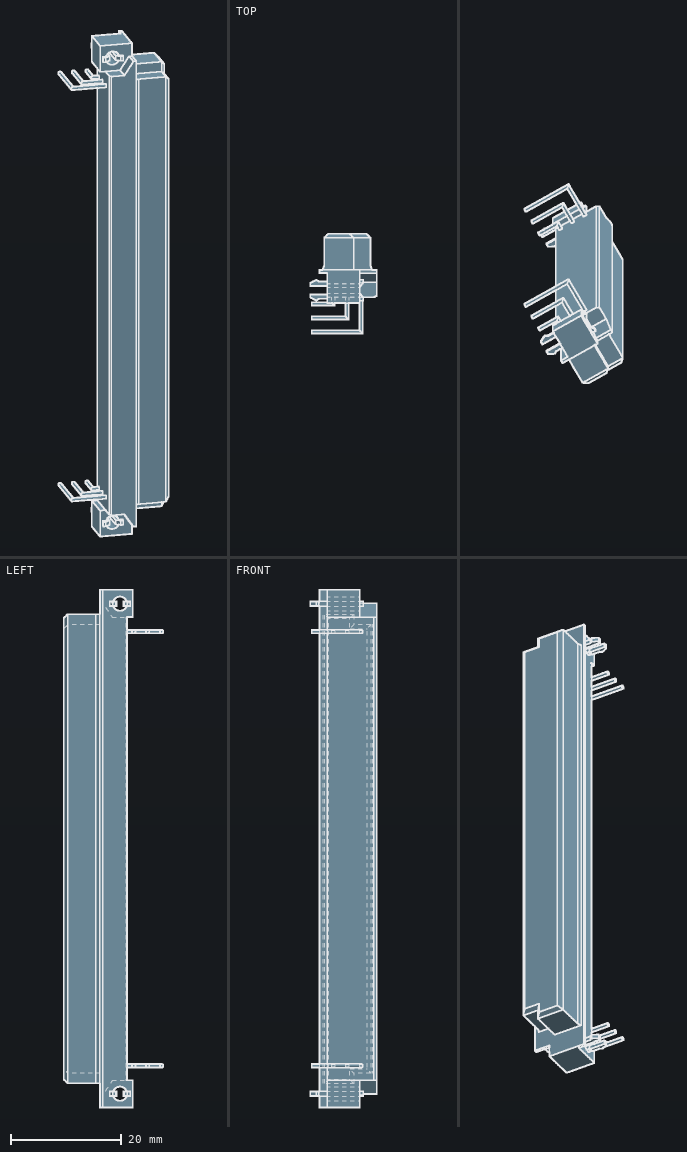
import cadquery as cq
import math


LENGTH = 94.0
HOUSING_WIDTH = 10.4
FLANGE_THICKNESS = 0.6

BODY_LEFT = 1.4
BODY_FRONT = -5.0
BODY_HALF_LENGTH = 42.0
BODY_EDGE_CHAMFER_X = 0.6
BODY_EDGE_CHAMFER_Y = 0.3

SLOPE_HALF_LENGTH = 44.6
SLOPE_FOOT_Y = -2.3

EAR_RIGHT = 7.3
EAR_FRONT = -6.0

PLUG_LEFT = 0.8
PLUG_RIGHT = 9.3
PLUG_HEIGHT = 6.6
PLUG_HALF_LENGTH = 42.6
PLUG_CHAMFER = 0.75
PLUG_STEP_X = 6.2
PLUG_STEP_DEPTH = 1.9
PLUG_FLARE_WIDTH = 0.3
PLUG_FLARE_HEIGHT = 0.75

HOLE_RADIUS = 1.27
HOLE_Y = -3.7
HOLE_Z = 44.5
PRONG_THICKNESS = 0.8
PRONG_TAIL_GAP = 1.5
PRONG_SHANK_GAP = 1.1
PRONG_TIP_X = -1.7
PRONG_TIP_OUTER = 1.3
PRONG_BARB_X = -0.6
PRONG_BARB_OUTER = 1.9
PRONG_NECK_X = -0.1
PRONG_NECK_OUTER = 1.6
PRONG_HOOK_LENGTH = 0.7
PRONG_HOOK_INNER = 1.4
PRONG_HOOK_OUTER = 1.9

PIN_DIAMETER = 0.7
PIN_ROWS = 3
PIN_PITCH = 2.5
PIN_TIP_X = -1.4
PIN_Z = 39.4
FIRST_PIN_RIGHT = 2.8
FIRST_PIN_FRONT = -6.5


def box(x_range, y_range, z_range):
    """Axis-aligned block between the given limits."""
    size = [high - low for low, high in (x_range, y_range, z_range)]
    corner = (x_range[0], y_range[0], z_range[0])
    return cq.Workplane("XY").box(*size, centered=False).translate(corner)


def symmetric(half_length):
    """Z limits centred on mid-length."""
    return (-half_length, half_length)


def make_flange():
    thickness = (-FLANGE_THICKNESS, 0)
    ear_part = box((0, EAR_RIGHT), thickness, symmetric(LENGTH / 2))
    body_part = box((0, HOUSING_WIDTH), thickness, symmetric(SLOPE_HALF_LENGTH))
    return ear_part.union(body_part)


def make_body():
    """Long block with sloped ends and a chamfered front edge on the +X side."""
    side_outline = [
        (-FLANGE_THICKNESS, SLOPE_HALF_LENGTH),
        (SLOPE_FOOT_Y, BODY_HALF_LENGTH),
        (BODY_FRONT, BODY_HALF_LENGTH),
        (BODY_FRONT, -BODY_HALF_LENGTH),
        (SLOPE_FOOT_Y, -BODY_HALF_LENGTH),
        (-FLANGE_THICKNESS, -SLOPE_HALF_LENGTH),
    ]
    block = (
        cq.Workplane("YZ", origin=(BODY_LEFT, 0, 0))
        .polyline(side_outline)
        .close()
        .extrude(HOUSING_WIDTH - BODY_LEFT)
    )
    edge_chamfer = (
        cq.Workplane("XY", origin=(0, 0, -LENGTH / 2))
        .moveTo(HOUSING_WIDTH, BODY_FRONT)
        .lineTo(HOUSING_WIDTH - BODY_EDGE_CHAMFER_X, BODY_FRONT)
        .lineTo(HOUSING_WIDTH, BODY_FRONT + BODY_EDGE_CHAMFER_Y)
        .close()
        .extrude(LENGTH)
    )
    return block.cut(edge_chamfer)


def make_ear(end):
    """Mounting ear at the +Z (end = 1) or -Z (end = -1) end, without its hole."""
    z_range = sorted((end * BODY_HALF_LENGTH, end * LENGTH / 2))
    return box((BODY_LEFT, EAR_RIGHT), (EAR_FRONT, -FLANGE_THICKNESS), z_range)


def make_lock_hole(end):
    """Round cutter for the board-lock hole, running along X through the ear."""
    return (
        cq.Workplane("YZ", origin=(BODY_LEFT, HOLE_Y, end * HOLE_Z))
        .circle(HOLE_RADIUS)
        .extrude(EAR_RIGHT - BODY_LEFT)
    )


def make_plug():
    """Plug with stepped ends, a chamfered mating face and a flared root on both long sides."""
    long_part = box((PLUG_LEFT, PLUG_STEP_X), (0, PLUG_HEIGHT), symmetric(PLUG_HALF_LENGTH))
    short_half_length = PLUG_HALF_LENGTH - PLUG_STEP_DEPTH
    short_part = box((PLUG_STEP_X, PLUG_RIGHT), (0, PLUG_HEIGHT), symmetric(short_half_length))
    plug = long_part.union(short_part).faces(">Y").chamfer(PLUG_CHAMFER)

    for side_x, outward, half_length in (
        (PLUG_LEFT, -1, PLUG_HALF_LENGTH),
        (PLUG_RIGHT, 1, short_half_length),
    ):
        flare = (
            cq.Workplane("XY", origin=(0, 0, -half_length))
            .moveTo(side_x, 0)
            .lineTo(side_x + outward * PLUG_FLARE_WIDTH, 0)
            .lineTo(side_x, PLUG_FLARE_HEIGHT)
            .close()
            .extrude(2 * half_length)
        )
        plug = plug.union(flare)
    return plug


def make_pin(row, end):
    """Round pin that leaves the body toward -Y and bends sharply toward the board at -X."""
    bend_x = FIRST_PIN_RIGHT + row * PIN_PITCH - PIN_DIAMETER / 2
    bend_y = FIRST_PIN_FRONT - row * PIN_PITCH + PIN_DIAMETER / 2
    path = (
        cq.Workplane("XY", origin=(0, 0, end * PIN_Z))
        .moveTo(PIN_TIP_X, bend_y)
        .lineTo(bend_x, bend_y)
        .lineTo(bend_x, BODY_FRONT)
    )
    return (
        cq.Workplane("YZ", origin=(PIN_TIP_X, bend_y, end * PIN_Z))
        .circle(PIN_DIAMETER / 2)
        .sweep(path, transition="right")
    )


def make_housing():
    """Insulating housing together with its contact pins, as one solid."""
    housing = make_flange().union(make_body()).union(make_plug())
    for end in (1, -1):
        housing = housing.union(make_ear(end)).cut(make_lock_hole(end))
        for row in range(PIN_ROWS):
            housing = housing.union(make_pin(row, end))
    return housing


def make_prong(side, end):
    """Board-lock prong on the +Y (side = 1) or -Y (side = -1) half of a hole."""
    shank_outer = math.sqrt(HOLE_RADIUS**2 - (PRONG_THICKNESS / 2) ** 2)
    shank_inner = PRONG_SHANK_GAP / 2
    tail_inner = PRONG_TAIL_GAP / 2
    hook_end_x = EAR_RIGHT + PRONG_HOOK_LENGTH
    outline = [
        (PRONG_TIP_X, tail_inner),
        (PRONG_TIP_X, PRONG_TIP_OUTER),
        (PRONG_BARB_X, PRONG_BARB_OUTER),
        (PRONG_NECK_X, PRONG_NECK_OUTER),
        (BODY_LEFT, PRONG_NECK_OUTER),
        (BODY_LEFT, shank_outer),
        (EAR_RIGHT, shank_outer),
        (EAR_RIGHT, PRONG_HOOK_OUTER),
        (hook_end_x, PRONG_HOOK_OUTER),
        (hook_end_x, PRONG_HOOK_INNER),
        (EAR_RIGHT, shank_inner),
        (BODY_LEFT, shank_inner),
        (BODY_LEFT, tail_inner),
    ]
    return (
        cq.Workplane("XY")
        .polyline([(x, side * offset) for x, offset in outline])
        .close()
        .extrude(PRONG_THICKNESS / 2, both=True)
        .translate((0, HOLE_Y, end * HOLE_Z))
    )


housing = make_housing()
prongs = [make_prong(side, end) for end in (1, -1) for side in (1, -1)]

result = cq.Compound.makeCompound([housing.val(), *[prong.val() for prong in prongs]])